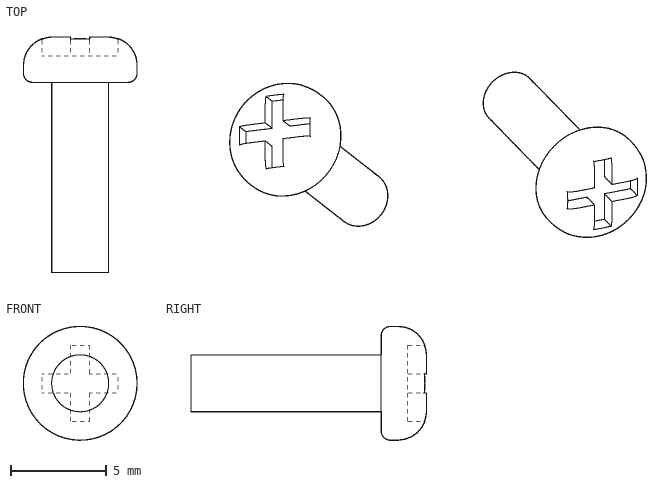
import cadquery as cq


shank_diameter = 3.0
shank_length = 10.0

head_diameter = 6.0
head_height = 2.4
crown_radius = 1.5
underside_radius = 0.5

recess_span = 4.0
recess_width = 1.0
recess_depth = 1.0


def make_screw_body():
    """Head and shank, revolved together from a half profile in the XY plane."""
    shank_radius = shank_diameter / 2
    head_radius = head_diameter / 2
    return (
        cq.Workplane("XY")
        .moveTo(0, -shank_length)
        .lineTo(shank_radius, -shank_length)
        .lineTo(shank_radius, 0)
        .lineTo(head_radius - underside_radius, 0)
        .radiusArc((head_radius, underside_radius), -underside_radius)
        .lineTo(head_radius, head_height - crown_radius)
        .radiusArc((head_radius - crown_radius, head_height), -crown_radius)
        .lineTo(0, head_height)
        .close()
        .revolve(360, (0, 0, 0), (0, 1, 0))
    )


def make_cross_recess():
    """Two crossing bars, sunk from the flat of the crown into the head."""
    recess_center_y = head_height - recess_depth / 2
    arm_along_x = cq.Workplane("XY").box(recess_span, recess_depth, recess_width)
    arm_along_z = cq.Workplane("XY").box(recess_width, recess_depth, recess_span)
    return arm_along_x.union(arm_along_z).translate((0, recess_center_y, 0))


result = make_screw_body().cut(make_cross_recess())